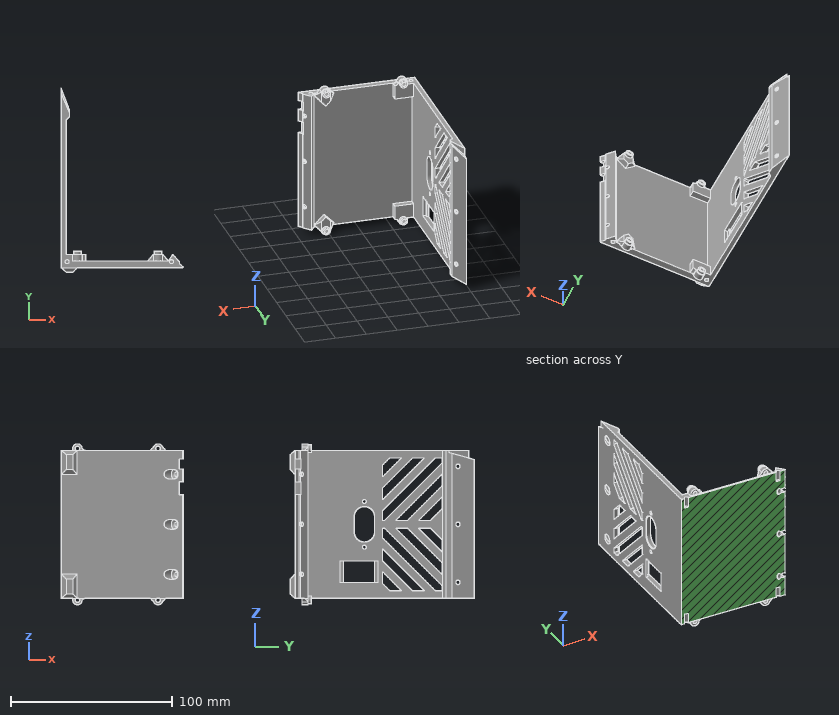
import cadquery as cq
import math

HEIGHT = 91.8
HALF = HEIGHT / 2
PLATE_LENGTH = 75.7
PLATE_THICK = 4.3
WALL_LENGTH = 111.4
WALL_THICK = 3.2

WEDGE_START_X = 66.5
WEDGE_PEAK_X = 69.2
WEDGE_PEAK_Y = 8.3
WEDGE_LIP_X = 73.5
WEDGE_SLOPE_END_Y = 3.7
EDGE_CHAMFER = 0.4
LIP_TOP_Y = EDGE_CHAMFER + PLATE_LENGTH - WEDGE_LIP_X
NOTCH_FLOOR_X = 73.3
NOTCH_SPANS = ((34.4, 40.4), (18.4, 26.4))

HOOK_DEPTH = 5.3
HOOK_SLOPE_END_Y = 97.7
HOOK_FLAT_END_Y = 93.7
HOOK_ROOT_Y = HOOK_FLAT_END_Y - (HOOK_DEPTH - WALL_THICK)
STEP_EDGE_Y = 108.1
STEP_SLOPE_END_Y = 95.7
STEP_DROP_OUTER = 5.7
STEP_DROP_INNER = 4.8

FOOT_WIDTH = 9.9
FOOT_LENGTH = 15.1
FOOT_HEIGHT = 2.9
FOOT_STEEP_INSET = 2.7
FOOT_WIDE_INSET = 3.2

LUG_RADIUS = 3.0
LUG_OVERHANG = 1.09
LUG_Z = HALF + LUG_OVERHANG
LUG_TOP_Y = 8.3
LUG_HOLE_RADIUS = 1.4
SPIGOT_RADIUS = 2.4
SPIGOT_TOP_Y = 10.3
CORNER_LUG_X = 10.0
EDGE_LUG_X = 60.1
GUSSET_HALF_WIDTH = 6.4
GUSSET_EDGE_HALF_WIDTH = 4.9
CORNER_BLOCK_END_X = 15.3
CORNER_BLOCK_HEIGHT = 9.1

PIN_RADIUS = 1.3
PIN_DEPTH = 6.9
PIN_Y = 3.8
PIN_XS = (3.7, 68.4)

BORE_RADIUS = 3.1
BORE_RUN_UP = 3.1
SCREW_RADIUS = 1.4
CONE_LENGTH = 1.4
PLATE_SCREW_X = 68.2
PLATE_SCREW_PITCH = 31.1
PLATE_SCREW_TILT = 47
PLATE_BORE_DEPTH = 3.0
WALL_SCREW_Y = 99.8
WALL_SCREW_PITCH = 36.0
WALL_SCREW_TILT = 21
WALL_BORE_DEPTH = 2.3

VENT_Y = (54.5, 91.4)
VENT_Z = (2.5, 41.1)
SLOT_PITCH = 14.2
SLOT_WIDTH = 7.2 / math.sqrt(2)
SLOT_OFFSET = 49.7
SLOTS_EACH_SIDE = 2

SOCKET_Y = 43.2
SOCKET_WIDTH = 12.5
SOCKET_HEIGHT = 21.7
SOCKET_CHAMFER = 0.3
SOCKET_SCREW_RADIUS = 1.1
SOCKET_SCREW_Z = 14.2
WINDOW_Y = (30.3, 49.4)
WINDOW_Z = (-36.0, -22.8)
WINDOW_LIP = 1.1
WINDOW_RELIEF = 2.3

THROUGH = 22.8


def box(x, y, z):
    """Box spanning the given (low, high) pairs."""
    return cq.Workplane("XY").box(
        x[1] - x[0], y[1] - y[0], z[1] - z[0], centered=False
    ).translate((x[0], y[0], z[0]))


def cylinder(base, direction, radius, length):
    return cq.Workplane(cq.Solid.makeCylinder(radius, length, cq.Vector(*base), cq.Vector(*direction)))


def both_ends(shape):
    """The shape together with its mirror image about Z = 0."""
    return shape.union(shape.mirror("XY"))


def make_frame():
    outline = [
        (0, 0),
        (PLATE_LENGTH - EDGE_CHAMFER, 0),
        (PLATE_LENGTH, EDGE_CHAMFER),
        (WEDGE_LIP_X, LIP_TOP_Y),
        (WEDGE_LIP_X, WEDGE_SLOPE_END_Y),
        (WEDGE_PEAK_X, WEDGE_PEAK_Y),
        (WEDGE_START_X, PLATE_THICK),
        (WALL_THICK, PLATE_THICK),
        (WALL_THICK, HOOK_ROOT_Y),
        (HOOK_DEPTH, HOOK_FLAT_END_Y),
        (HOOK_DEPTH, HOOK_SLOPE_END_Y),
        (0, WALL_LENGTH),
    ]
    return cq.Workplane("XY").polyline(outline).close().extrude(HEIGHT).translate((0, 0, -HALF))


def make_foot():
    """Foot at the upper corner: a block with all four sides sloping inwards."""
    across = (
        cq.Workplane("XY")
        .polyline([
            (0, 0),
            (FOOT_WIDTH, 0),
            (FOOT_WIDTH - FOOT_STEEP_INSET, -FOOT_HEIGHT),
            (FOOT_WIDE_INSET, -FOOT_HEIGHT),
        ])
        .close()
        .extrude(HALF)
    )
    along = (
        cq.Workplane("YZ")
        .polyline([
            (0, HALF),
            (0, HALF - FOOT_LENGTH),
            (-FOOT_HEIGHT, HALF - FOOT_LENGTH + FOOT_WIDE_INSET),
            (-FOOT_HEIGHT, HALF - FOOT_STEEP_INSET),
        ])
        .close()
        .extrude(FOOT_WIDTH)
    )
    return across.intersect(along)


def lug_barrel(x):
    return cylinder((x, PLATE_THICK, LUG_Z), (0, 1, 0), LUG_RADIUS, LUG_TOP_Y - PLATE_THICK)


def lug_spigot(x):
    return cylinder((x, LUG_TOP_Y, LUG_Z), (0, 1, 0), SPIGOT_RADIUS, SPIGOT_TOP_Y - LUG_TOP_Y)


def make_edge_lug():
    """Lug carried by a gusset with 45 degree flanks that also narrows away from the plate."""
    depth = LUG_TOP_Y - PLATE_THICK
    flank_peak_z = HALF + GUSSET_EDGE_HALF_WIDTH
    shoulder = (flank_peak_z - LUG_Z) / 2
    widest_z = flank_peak_z - GUSSET_HALF_WIDTH
    flanks = (
        cq.Workplane("XZ", origin=(EDGE_LUG_X, PLATE_THICK, 0))
        .polyline([
            (-shoulder, LUG_Z + shoulder),
            (shoulder, LUG_Z + shoulder),
            (GUSSET_HALF_WIDTH, widest_z),
            (0, widest_z - GUSSET_HALF_WIDTH),
            (-GUSSET_HALF_WIDTH, widest_z),
        ])
        .close()
        .extrude(-depth)
    )
    plan = (
        cq.Workplane("XY")
        .polyline([
            (EDGE_LUG_X - GUSSET_HALF_WIDTH, PLATE_THICK),
            (EDGE_LUG_X + GUSSET_HALF_WIDTH, PLATE_THICK),
            (EDGE_LUG_X + LUG_RADIUS, LUG_TOP_Y),
            (EDGE_LUG_X - LUG_RADIUS, LUG_TOP_Y),
        ])
        .close()
        .extrude(HEIGHT)
    )
    return lug_barrel(EDGE_LUG_X).union(flanks.intersect(plan)).union(lug_spigot(EDGE_LUG_X))


def make_corner_lug():
    """Lug carried by a block in the corner, with a concave flare at its foot."""
    depth = LUG_TOP_Y - PLATE_THICK
    block = box((0, CORNER_BLOCK_END_X), (0, LUG_TOP_Y), (HALF - CORNER_BLOCK_HEIGHT, HALF))
    neck = box((CORNER_LUG_X - LUG_RADIUS, CORNER_LUG_X), (PLATE_THICK, LUG_TOP_Y), (HALF, LUG_Z))
    reach = CORNER_BLOCK_END_X - CORNER_LUG_X
    fillet_radius = (reach**2 + LUG_OVERHANG**2 - LUG_RADIUS**2) / (2 * (LUG_RADIUS + LUG_OVERHANG))
    fillet_area = box((CORNER_LUG_X, CORNER_BLOCK_END_X), (PLATE_THICK, LUG_TOP_Y), (HALF, LUG_Z))
    fillet_void = cylinder(
        (CORNER_BLOCK_END_X, PLATE_THICK, HALF + fillet_radius), (0, 1, 0), fillet_radius, depth
    )
    flare = fillet_area.cut(fillet_void)
    return block.union(neck).union(flare).union(lug_barrel(CORNER_LUG_X)).union(lug_spigot(CORNER_LUG_X))


def lug_bores():
    bores = cq.Workplane("XY")
    for x in (CORNER_LUG_X, EDGE_LUG_X):
        bores = bores.union(cylinder((x, PLATE_THICK, LUG_Z), (0, 1, 0), LUG_HOLE_RADIUS, THROUGH))
    return both_ends(bores)


def pin_holes():
    holes = cq.Workplane("XY")
    for x in PIN_XS:
        holes = holes.union(cylinder((x, PIN_Y, HALF - PIN_DEPTH), (0, 0, 1), PIN_RADIUS, PIN_DEPTH))
    return both_ends(holes)


def edge_notches():
    notches = cq.Workplane("XY")
    for span in NOTCH_SPANS:
        notches = notches.union(box((NOTCH_FLOOR_X, PLATE_LENGTH), (0, THROUGH), span))
    return notches


def hook_step():
    """Corner step at the upper end of the hook, with a sloping floor."""
    plan = (
        cq.Workplane("XY")
        .polyline([
            (0, STEP_EDGE_Y),
            (HOOK_DEPTH, STEP_SLOPE_END_Y),
            (HOOK_DEPTH, WALL_LENGTH),
            (0, WALL_LENGTH),
        ])
        .close()
        .extrude(HALF)
    )
    floor_slope = (STEP_DROP_OUTER - STEP_DROP_INNER) / (WALL_LENGTH - STEP_EDGE_Y)
    drop_at_end = STEP_DROP_INNER - floor_slope * (STEP_EDGE_Y - STEP_SLOPE_END_Y)
    side = (
        cq.Workplane("YZ")
        .polyline([
            (WALL_LENGTH, HALF - STEP_DROP_OUTER),
            (WALL_LENGTH, HALF),
            (STEP_SLOPE_END_Y, HALF),
            (STEP_SLOPE_END_Y, HALF - drop_at_end),
        ])
        .close()
        .extrude(HOOK_DEPTH)
    )
    return plan.intersect(side)


def screw_holes(mouth, axis, bore_depth, pitch):
    """Three countersunk holes spaced along Z; the mouth is the (x, y) where the axis enters."""
    profile = [
        (0, -BORE_RUN_UP),
        (BORE_RADIUS, -BORE_RUN_UP),
        (BORE_RADIUS, bore_depth),
        (SCREW_RADIUS, bore_depth + CONE_LENGTH),
        (SCREW_RADIUS, THROUGH),
        (0, THROUGH),
    ]
    holes = cq.Workplane("XY")
    for row in (-1, 0, 1):
        section = cq.Plane(
            origin=(*mouth, row * pitch),
            xDir=(axis[1], -axis[0], 0),
            normal=(0, 0, 1),
        )
        hole = cq.Workplane(section).polyline(profile).close().revolve(360, (0, 0, 0), (0, 1, 0))
        holes = holes.union(hole)
    return holes


def plate_screw_holes():
    tilt = math.radians(PLATE_SCREW_TILT)
    axis = (math.sin(tilt), math.cos(tilt))
    return screw_holes((PLATE_SCREW_X, 0), axis, PLATE_BORE_DEPTH, PLATE_SCREW_PITCH)


def wall_screw_holes():
    tilt = math.radians(WALL_SCREW_TILT)
    axis = (math.cos(tilt), math.sin(tilt))
    return screw_holes((0, WALL_SCREW_Y), axis, WALL_BORE_DEPTH, WALL_SCREW_PITCH)


def vent_slots():
    """Slots at 45 degrees, trimmed to the vent field and mirrored into a chevron."""
    field = box((0, WALL_THICK), VENT_Y, VENT_Z)
    slots = cq.Workplane("XY")
    middle_y = sum(VENT_Y) / 2
    for index in range(-SLOTS_EACH_SIDE, SLOTS_EACH_SIDE + 1):
        middle_z = middle_y - SLOT_OFFSET - index * SLOT_PITCH
        slot = (
            cq.Workplane("YZ")
            .center(middle_y, middle_z)
            .transformed(rotate=(0, 0, 45))
            .rect(2 * WALL_LENGTH, SLOT_WIDTH)
            .extrude(WALL_THICK)
        )
        slots = slots.union(slot.intersect(field))
    return both_ends(slots)


def socket_opening():
    """Obround opening with a chamfered rim and a fixing hole above and below it."""
    face = cq.Workplane("YZ", origin=(0, SOCKET_Y, 0))
    opening = face.slot2D(SOCKET_HEIGHT, SOCKET_WIDTH, 90).extrude(WALL_THICK)
    rim = (
        face.slot2D(SOCKET_HEIGHT + 2 * SOCKET_CHAMFER, SOCKET_WIDTH + 2 * SOCKET_CHAMFER, 90)
        .extrude(SOCKET_CHAMFER, taper=45)
    )
    fixings = (
        face.pushPoints([(0, SOCKET_SCREW_Z), (0, -SOCKET_SCREW_Z)])
        .circle(SOCKET_SCREW_RADIUS)
        .extrude(WALL_THICK)
    )
    return opening.union(rim).union(fixings)


def switch_window():
    """Window whose two upright sides are relieved from the inside to a thin lip."""
    window = box((0, WALL_THICK), WINDOW_Y, WINDOW_Z)
    relief_y = (WINDOW_Y[0] - WINDOW_RELIEF, WINDOW_Y[1] + WINDOW_RELIEF)
    return window.union(box((WINDOW_LIP, WALL_THICK), relief_y, WINDOW_Z))


additions = both_ends(make_foot().union(make_edge_lug()).union(make_corner_lug()))
result = make_frame().union(additions)
for cutter in (
    lug_bores(),
    pin_holes(),
    edge_notches(),
    hook_step(),
    plate_screw_holes(),
    wall_screw_holes(),
    vent_slots(),
    socket_opening(),
    switch_window(),
):
    result = result.cut(cutter)